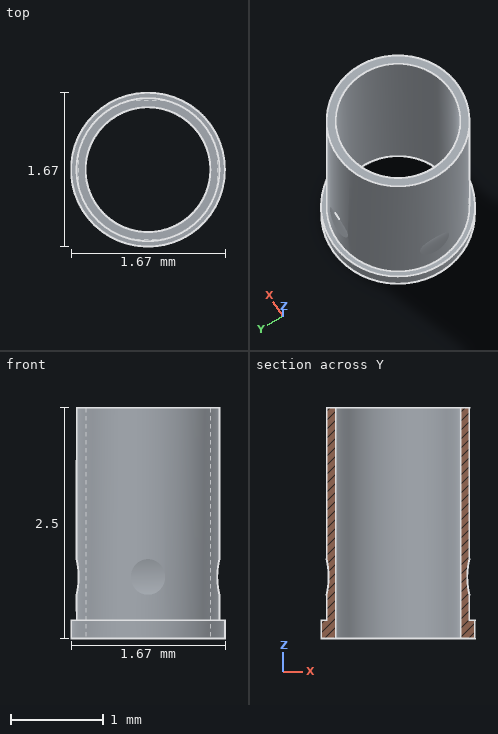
import cadquery as cq

height = 2.5
flange_diameter = 1.67
flange_height = 0.2
tube_diameter = 1.55
bore_diameter = 1.35

dimple_count = 4
dimple_height = 0.668
dimple_depth = 0.022
scoop_radius = 0.838
scoop_length = tube_diameter
scoop_axis_distance = tube_diameter / 2 - dimple_depth + scoop_radius


def upright_cylinder(diameter, length):
    """Cylinder standing on the base plane."""
    return cq.Workplane("XY").circle(diameter / 2).extrude(length)


def dimple_scoop(angle):
    """Level cylinder, tangential to the tube, that cuts the dimple at the given angle."""
    scoop = (
        cq.Workplane("XZ")
        .center(scoop_axis_distance, dimple_height)
        .circle(scoop_radius)
        .extrude(scoop_length / 2, both=True)
    )
    return scoop.rotate((0, 0, 0), (0, 0, 1), angle)


result = upright_cylinder(tube_diameter, height)
for index in range(dimple_count):
    result = result.cut(dimple_scoop(index * 360 / dimple_count))

result = result.union(upright_cylinder(flange_diameter, flange_height))

result = result.cut(upright_cylinder(bore_diameter, height))